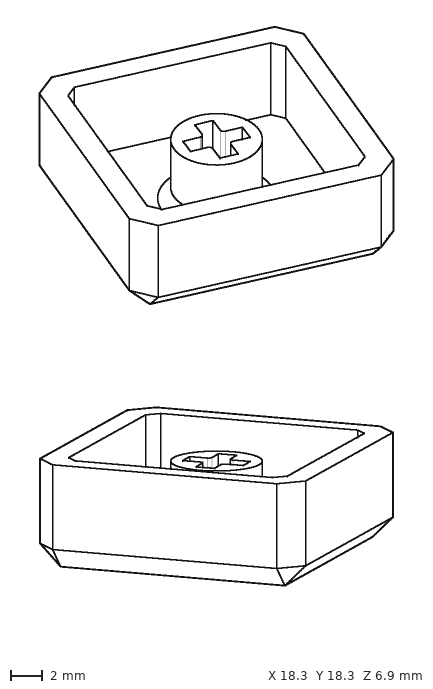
import cadquery as cq
import math

overall_width = 18.28
height = 6.9
corner = 1.4
turn = 1.0

turn_cos = math.cos(math.radians(turn))
turn_sin = math.sin(math.radians(turn))
side = (overall_width + 2 * corner * turn_sin) / (turn_cos + turn_sin)

wall = 1.59
cavity_side = side - 2 * wall
cavity_corner = 0.73
floor_z = corner

stem_diameter = 5.8
stem_top_z = height - 1.0
skirt_width = 0.82
skirt_height = 0.82

cross_length = 4.08
cross_width = 1.25
cross_round = 0.24


def bevelled_slab(top_half_width, inset, angle):
    """Long slab of full height whose two sides slope in towards the bottom."""
    bottom_half_width = top_half_width - inset
    profile = [
        (-bottom_half_width, 0),
        (bottom_half_width, 0),
        (top_half_width, corner),
        (top_half_width, height),
        (-top_half_width, height),
        (-top_half_width, corner),
    ]
    slab = cq.Workplane("XZ").polyline(profile).close().extrude(side, both=True)
    return slab.rotate((0, 0, 0), (0, 0, 1), angle)


def make_body():
    """Square block with cut corners, bevelled down to a plain square bottom face."""
    block = bevelled_slab(side / 2, corner, 0)
    block = block.intersect(bevelled_slab(side / 2, corner, 90))
    diagonal_half_width = (side - corner) / math.sqrt(2)
    diagonal_inset = corner / math.sqrt(2)
    for angle in (45, 135):
        block = block.intersect(bevelled_slab(diagonal_half_width, diagonal_inset, angle))
    return block


def make_cavity():
    """Open recess with smaller cut corners."""
    return (
        cq.Workplane("XY", origin=(0, 0, floor_z))
        .box(cavity_side, cavity_side, height - floor_z, centered=(True, True, False))
        .edges("|Z")
        .chamfer(cavity_corner)
    )


def make_stem():
    """Round post with a conical skirt, rooted in the floor."""
    radius = stem_diameter / 2
    profile = [
        (0, 0),
        (radius + skirt_width, 0),
        (radius, skirt_height),
        (radius, stem_top_z - floor_z),
        (0, stem_top_z - floor_z),
    ]
    post = cq.Workplane("XZ").polyline(profile).close().revolve(360, (0, 0), (0, 1))
    return post.translate((0, 0, floor_z))


def make_cross_socket():
    """Cross-shaped socket reaching down to the floor, with rounded inner corners."""
    depth = stem_top_z - floor_z
    base = cq.Workplane("XY", origin=(0, 0, floor_z))
    cross = base.rect(cross_length, cross_width).extrude(depth)
    cross = cross.union(base.rect(cross_width, cross_length).extrude(depth))
    inner_corners = cq.selectors.BoxSelector(
        (-cross_width, -cross_width, floor_z),
        (cross_width, cross_width, stem_top_z),
    )
    return cross.edges("|Z").edges(inner_corners).fillet(cross_round)


body = make_body().cut(make_cavity()).rotate((0, 0, 0), (0, 0, 1), -turn)
result = body.union(make_stem()).cut(make_cross_socket())